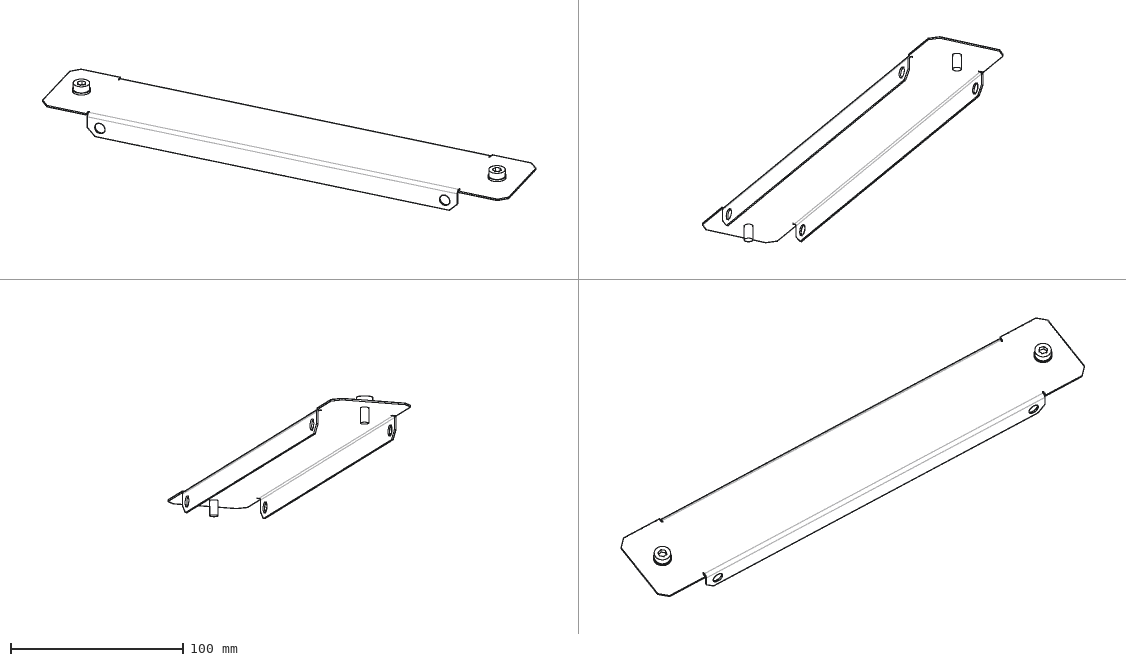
import cadquery as cq

import math

panel_length = 296.0
panel_width = 49.0
sheet = 1.0
corner_chamfer = 5.0

flange_length = 235.0
flange_drop = 14.0
bend_radius = 2.0
flange_chamfer = 5.0
flange_hole_diameter = 6.5
flange_hole_pitch = 219.0
flange_hole_height = 6.0

relief_width = 0.6
relief_depth = 3.0

screw_pitch = 264.0
screw_diameter = 5.0
screw_reach = 10.0
head_diameter = 9.6
head_height = 4.0
socket_width = 4.5
socket_depth = 2.5
socket_sides = 6
socket_angle = 45.0
washer_diameter = 10.5
washer_thickness = 1.2
screw_length = screw_reach + washer_thickness

screw_xs = (-screw_pitch / 2, screw_pitch / 2)
screw_points = [(x, 0) for x in screw_xs]
head_seat = washer_thickness
flange_bottom = -flange_drop


def make_flat_plate():
    """Flat sheet with bevelled corners, cut back along the folded stretches."""
    plate = (
        cq.Workplane("XY")
        .box(panel_length, panel_width, sheet, centered=(True, True, False))
        .edges("|Z")
        .chamfer(corner_chamfer)
        .translate((0, 0, -sheet))
    )
    fold_gap_length = flange_length + 2 * relief_width
    for side in (-1, 1):
        slot = (
            cq.Workplane("XY")
            .box(fold_gap_length, 2 * relief_depth, 2 * sheet)
            .edges("|Z")
            .fillet(relief_width)
        )
        plate = plate.cut(slot.translate((0, side * panel_width / 2, -sheet / 2)))
    return plate


def make_folded_channel():
    """U-shaped channel with rounded folds, end chamfers and flange holes."""
    outer = (
        cq.Workplane("YZ")
        .rect(panel_width, 2 * flange_drop)
        .extrude(flange_length / 2, both=True)
        .edges("|X")
        .fillet(bend_radius)
    )
    inner = (
        cq.Workplane("YZ")
        .rect(panel_width - 2 * sheet, 2 * (flange_drop - sheet))
        .extrude(flange_length / 2, both=True)
        .edges("|X")
        .fillet(bend_radius - sheet)
    )
    half_length = flange_length / 2
    side_outline = (
        cq.Workplane("XZ")
        .moveTo(-half_length, flange_drop)
        .lineTo(half_length, flange_drop)
        .lineTo(half_length, flange_chamfer)
        .lineTo(half_length - flange_chamfer, 0)
        .lineTo(-half_length + flange_chamfer, 0)
        .lineTo(-half_length, flange_chamfer)
        .close()
        .extrude(panel_width, both=True)
    )
    holes = (
        cq.Workplane("XZ")
        .pushPoints([(side * flange_hole_pitch / 2, flange_hole_height) for side in (-1, 1)])
        .circle(flange_hole_diameter / 2)
        .extrude(panel_width, both=True)
    )
    channel = outer.cut(inner).intersect(side_outline).cut(holes)
    return channel.translate((0, 0, flange_bottom))


def make_panel():
    """Complete sheet-metal panel with close-fitting screw holes."""
    screw_holes = (
        cq.Workplane("XY")
        .workplane(offset=-sheet)
        .pushPoints(screw_points)
        .circle(screw_diameter / 2)
        .extrude(sheet)
    )
    return make_flat_plate().union(make_folded_channel()).cut(screw_holes)


def make_screw(x):
    """Cylinder-head screw with a hexagon socket."""
    head = (
        cq.Workplane("XY", origin=(x, 0, head_seat))
        .circle(head_diameter / 2)
        .extrude(head_height)
    )
    shank = (
        cq.Workplane("XY", origin=(x, 0, head_seat))
        .circle(screw_diameter / 2)
        .extrude(-screw_length)
    )
    socket = (
        cq.Workplane("XY", origin=(x, 0, head_seat + head_height))
        .transformed(rotate=(0, 0, math.copysign(socket_angle, x)))
        .polygon(socket_sides, socket_width, circumscribed=True)
        .extrude(-socket_depth)
    )
    return head.union(shank).cut(socket)


def make_washer(x):
    """Plain round washer between the panel and the screw head."""
    return (
        cq.Workplane("XY", origin=(x, 0, 0))
        .circle(washer_diameter / 2)
        .circle(screw_diameter / 2)
        .extrude(washer_thickness)
    )


panel = make_panel()
screws = [make_screw(x) for x in screw_xs]
washers = [make_washer(x) for x in screw_xs]

result = cq.Compound.makeCompound(
    [panel.val()] + [screw.val() for screw in screws] + [washer.val() for washer in washers]
)